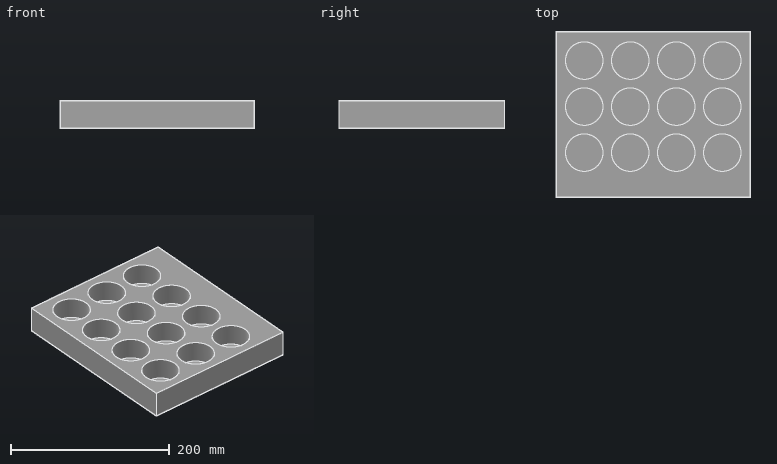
import cadquery as cq

length = 245.0
width = 209.0
height = 35.0

pocket_diameter = 47.3
pocket_depth = 28.5
columns = 4
rows = 3
pitch = 58.0
side_margin = (length - (columns - 1) * pitch) / 2
back_margin = 36.5


def pocket_centres():
    last_row_y = width - back_margin
    return [
        (side_margin + column * pitch, last_row_y - row * pitch)
        for column in range(columns)
        for row in range(rows)
    ]


block = cq.Workplane("XY").box(length, width, height, centered=False)

pockets = (
    cq.Workplane("XY", origin=(0, 0, height - pocket_depth))
    .pushPoints(pocket_centres())
    .circle(pocket_diameter / 2)
    .extrude(pocket_depth)
)

result = block.cut(pockets)